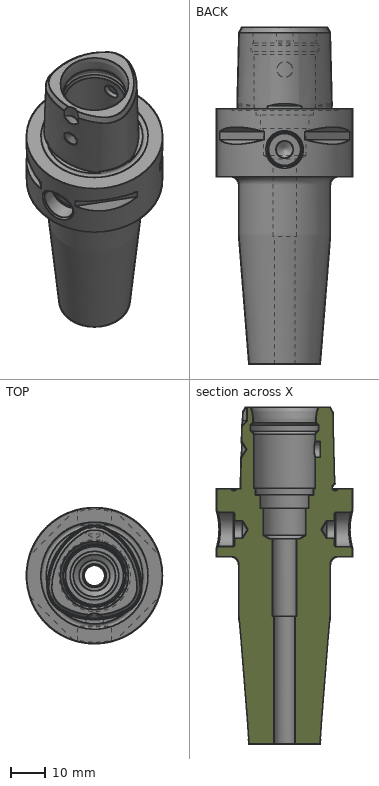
import cadquery as cq
import math

total_height = 99.0
nose_taper_top = 38.0
flange_bottom = 55.0
flange_top = 75.0
shank_taper_start = 76.6
shank_taper_end = 97.4

flange_diameter = 40.0
neck_diameter = 27.0
nose_diameter = 21.0
neck_fillet_radius = 2.3

lobe_tip_radius = 14.85
flat_radius = 13.0
lobe_arc_radius = 8.1
lobe_count = 3
shank_taper_angle = math.degrees(math.atan(1 / 40))
shank_end_chamfer_angle = 30.0

relief_radius = 14.2
relief_height = 75.8
groove_outer_radius = 15.7
groove_depth = 0.5

mouth_diameter = 20.0
throat_diameter = 19.0
mouth_chamfer_depth = 1.2
lip_diameter = 18.4
lip_top_depth = 3.3
lip_bottom_depth = 4.6
clamp_groove_diameter = 20.0
clamp_groove_fillet_radius = 0.5
shelf_depth = 7.1
main_bore_diameter = 18.0
shelf_bottom_depth = 7.9
main_bore_depth = 23.8
lower_bore_diameter = 17.0
lower_bore_depth = 25.7
pilot_diameter = 14.3
pilot_depth = 29.7
screw_bore_diameter = 12.4
screw_bore_depth = 37.6
funnel_bottom_diameter = 9.0
funnel_bottom_depth = 38.6
clearance_diameter = 6.9
clearance_depth = 61.4
tool_bore_diameter = 6.0

drill_point_angle = 118.0
notch_point_angle = 90.0
notch_diameter = 6.0
notch_centre_radius = 14.1
notch_shoulder_depth = 4.1
dimple_diameter = 4.6
dimple_height = 86.6
dimple_shoulder_radius = 12.6
inner_dimple_depth = 1.5
side_bore_diameter = 10.0
side_bore_rim_chamfer = 0.5
side_bore_floor_chamfer = 0.3
side_bore_height = 63.1
side_bore_floor_radius = 14.8
side_drill_diameter = 5.0
side_drill_shoulder_radius = 12.4

slot_count = 4
slot_height = 67.1
slot_floor_radius = 17.7
slot_floor_width = 2.3
slot_mouth_width = 5.0


def lobed_outline(workplane):
    """Three lobe arcs joined tangentially by three flatter arcs, with one flat facing -Y."""
    lobe_centre = lobe_tip_radius - lobe_arc_radius
    flat_arc_radius = (
        lobe_centre**2 + flat_radius**2 - lobe_centre * flat_radius - lobe_arc_radius**2
    ) / (2 * flat_radius - 2 * lobe_arc_radius - lobe_centre)
    lobe_centre_x = lobe_centre * math.sin(math.pi / lobe_count)
    flat_half_angle = math.asin(lobe_centre_x / (flat_arc_radius - lobe_arc_radius))
    joint_x = flat_arc_radius * math.sin(flat_half_angle)
    joint_y = flat_arc_radius - flat_radius - flat_arc_radius * math.cos(flat_half_angle)
    joint_radius = math.hypot(joint_x, joint_y)
    joint_angle = math.degrees(math.atan2(joint_y, joint_x))

    def polar(radius, angle):
        return (radius * math.cos(math.radians(angle)), radius * math.sin(math.radians(angle)))

    step = 360.0 / lobe_count
    flat_angle = -90.0
    outline = workplane.moveTo(-joint_x, joint_y)
    for index in range(lobe_count):
        turn = index * step
        outline = outline.threePointArc(
            polar(flat_radius, flat_angle + turn),
            polar(joint_radius, joint_angle + turn),
        )
        outline = outline.threePointArc(
            polar(lobe_tip_radius, flat_angle + step / 2 + turn),
            polar(joint_radius, 2 * flat_angle + step - joint_angle + turn),
        )
    return outline.close()


def make_body():
    neck_radius = neck_diameter / 2
    flange_radius = flange_diameter / 2
    fillet_mid = neck_fillet_radius * (1 - math.sqrt(0.5))
    return (
        cq.Workplane("XZ")
        .lineTo(nose_diameter / 2, 0)
        .lineTo(neck_radius, nose_taper_top)
        .lineTo(neck_radius, flange_bottom - neck_fillet_radius)
        .threePointArc(
            (neck_radius + fillet_mid, flange_bottom - fillet_mid),
            (neck_radius + neck_fillet_radius, flange_bottom),
        )
        .lineTo(flange_radius, flange_bottom)
        .lineTo(flange_radius, flange_top)
        .lineTo(0, flange_top)
        .close()
        .revolve(360, (0, 0), (0, 1))
    )


def make_shank():
    base = lobed_outline(cq.Workplane("XY", origin=(0, 0, flange_top)))
    base = base.extrude(shank_taper_start - flange_top)
    cone = lobed_outline(cq.Workplane("XY", origin=(0, 0, shank_taper_start)))
    cone = cone.extrude(shank_taper_end - shank_taper_start, taper=shank_taper_angle)
    chamfer = cone.faces(">Z").wires().toPending()
    chamfer = chamfer.workplane().extrude(
        total_height - shank_taper_end, taper=shank_end_chamfer_angle, combine=False
    )
    return base.union(cone).union(chamfer)


def lobe_relief():
    """Ring that trims the lobe roots round and sinks a round-bottomed groove into the flange."""
    groove_middle = (relief_radius + groove_outer_radius) / 2
    return (
        cq.Workplane("XZ")
        .moveTo(relief_radius, relief_height)
        .threePointArc((groove_middle, flange_top - groove_depth), (groove_outer_radius, flange_top))
        .lineTo(groove_outer_radius, relief_height + groove_outer_radius - relief_radius)
        .close()
        .revolve(360, (0, 0), (0, 1))
    )


def central_bore():
    """Stepped bore, listed from the shank end down as (diameter, depth)."""
    groove_flank_depth = lip_bottom_depth + (clamp_groove_diameter - lip_diameter) / 2
    mouth_steps = [
        (0, 0),
        (mouth_diameter, 0),
        (throat_diameter, mouth_chamfer_depth),
        (lip_diameter, lip_top_depth),
        (lip_diameter, lip_bottom_depth),
        (clamp_groove_diameter, groove_flank_depth),
        (clamp_groove_diameter, shelf_depth - clamp_groove_fillet_radius),
    ]
    inner_steps = [
        (clamp_groove_diameter - 2 * clamp_groove_fillet_radius, shelf_depth),
        (main_bore_diameter, shelf_bottom_depth),
        (main_bore_diameter, main_bore_depth),
        (lower_bore_diameter, main_bore_depth),
        (lower_bore_diameter, lower_bore_depth),
        (pilot_diameter, lower_bore_depth),
        (pilot_diameter, pilot_depth),
        (screw_bore_diameter, pilot_depth),
        (screw_bore_diameter, screw_bore_depth),
        (funnel_bottom_diameter, funnel_bottom_depth),
        (clearance_diameter, funnel_bottom_depth),
        (clearance_diameter, clearance_depth),
        (tool_bore_diameter, clearance_depth),
        (tool_bore_diameter, total_height),
        (0, total_height),
    ]

    def points(steps):
        return [(diameter / 2, total_height - depth) for diameter, depth in steps]

    inner_points = points(inner_steps)
    fillet_inset = clamp_groove_fillet_radius * (1 - math.sqrt(0.5))
    fillet_middle = (
        clamp_groove_diameter / 2 - fillet_inset,
        total_height - shelf_depth + fillet_inset,
    )
    return (
        cq.Workplane("XZ")
        .polyline(points(mouth_steps))
        .threePointArc(fillet_middle, inner_points[0])
        .polyline(inner_points[1:], includeCurrent=True)
        .close()
        .revolve(360, (0, 0), (0, 1))
    )


def drill(diameter, length, point_angle=drill_point_angle):
    """Drill along +Z whose full-diameter shoulder is at the origin, with its point below."""
    radius = diameter / 2
    point_length = radius / math.tan(math.radians(point_angle / 2))
    return (
        cq.Workplane("XZ")
        .polyline([(0, -point_length), (radius, 0), (radius, length), (0, length)])
        .close()
        .revolve(360, (0, 0), (0, 1))
    )


def facing_front(tool, radius, height):
    """Turn a tool built along +Z to come in from -Y, its origin at the given radius."""
    return tool.rotate((0, 0, 0), (1, 0, 0), 90).translate((0, -radius, height))


def end_notch():
    return drill(notch_diameter, total_height, notch_point_angle).translate(
        (0, -notch_centre_radius, total_height - notch_shoulder_depth)
    )


def shank_dimple():
    """Conical dimple in the middle of the flat that faces -Y."""
    dimple = drill(dimple_diameter, flange_diameter)
    return facing_front(dimple, dimple_shoulder_radius, dimple_height)


def inner_dimple():
    """Short blind hole in the bore wall, on the far side from the shank dimple."""
    length = main_bore_diameter / 2 + inner_dimple_depth
    hole = cq.Workplane("XY").circle(dimple_diameter / 2).extrude(-length)
    return facing_front(hole, 0, dimple_height)


def side_bore():
    """Flat-floored bore in the flange wall with a pointed hole drilled in its floor."""
    bore = cq.Workplane("XY").circle(side_bore_diameter / 2).extrude(flange_diameter)
    bore = bore.faces("<Z").chamfer(side_bore_floor_chamfer)
    centre = drill(side_drill_diameter, side_bore_floor_radius - side_drill_shoulder_radius)
    return facing_front(bore, side_bore_floor_radius, side_bore_height).union(
        facing_front(centre, side_drill_shoulder_radius, side_bore_height)
    )


def add_side_bores(body):
    """Cut the two opposite side bores and chamfer the curved rims they leave in the flange."""
    for turn in (0, 180):
        body = body.cut(side_bore().rotate((0, 0, 0), (0, 0, 1), turn))
    return body.edges("%BSPLINE").chamfer(side_bore_rim_chamfer)


def gripper_slot():
    """Straight flat-floored V slot across the +X side of the flange."""
    outer = flange_diameter / 2
    floor_half = slot_floor_width / 2
    mouth_half = slot_mouth_width / 2
    return (
        cq.Workplane("XZ", origin=(0, outer, slot_height))
        .polyline(
            [
                (slot_floor_radius, -floor_half),
                (outer, -mouth_half),
                (outer, mouth_half),
                (slot_floor_radius, floor_half),
            ]
        )
        .close()
        .extrude(flange_diameter)
    )


result = add_side_bores(make_body())
result = result.union(make_shank())
result = result.cut(lobe_relief())
result = result.cut(central_bore())
result = result.cut(end_notch())
result = result.cut(shank_dimple())
result = result.cut(inner_dimple())

slot_pitch = 360.0 / slot_count
for index in range(slot_count):
    turn = (index + 0.5) * slot_pitch
    result = result.cut(gripper_slot().rotate((0, 0, 0), (0, 0, 1), turn))